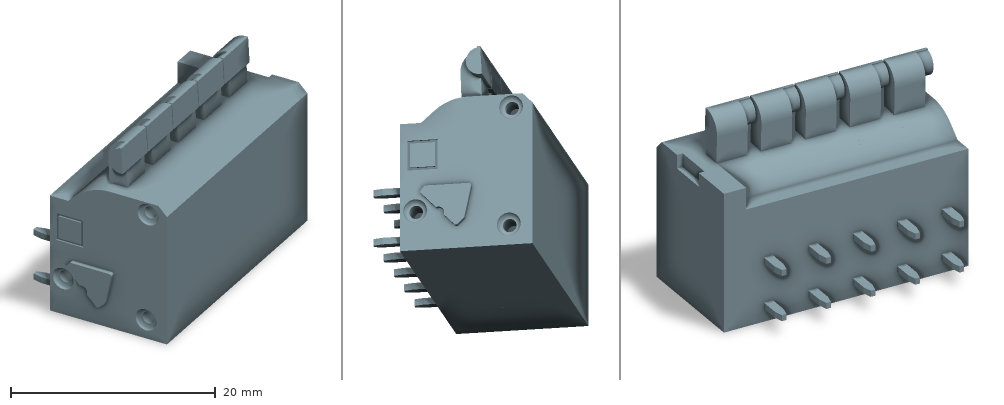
import cadquery as cq
import math


overall_length = 28.0
pole_count = 5
boss_height = 0.5
plate_thickness = 2.5
pole_pitch = (overall_length - boss_height - plate_thickness) / pole_count

body_width = 13.2
body_height = 15.4
back_chamfer = 0.98
shoulder_height = 13.0
shoulder_radius = 4.98
shoulder_angle = math.radians(41)
roof_start = 6.72

pin_length = 3.1
pin_width = 1.0
pin_height = 0.67
pin_tip_width = 0.5
pin_taper = 1.0
lower_pin_z = 1.8
pin_levels = [lower_pin_z, lower_pin_z + pole_pitch]

lever_top = 20.55
blade_width = 3.47
blade_root_z = 14.0
blade_root_left = 5.88
blade_root_right = 7.92
blade_shoulder_x = 5.7
blade_shoulder_z = 18.42
blade_neck_x = 7.75
blade_neck_z = 17.92
blade_top_radius = 2.07
crest_x = 7.62
nose_radius = 1.37
nose_center_x = 7.9
nose_center_z = 19.07
nose_face_top_x = 7.95
nose_face_bottom_x = 8.12
nose_clearance = 0.17

hole_centers = [(11.05, 14.05), (1.5, 4.03), (10.85, 2.1)]
hole_radius = 0.67
hole_mouth_fillet = 0.5
hole_depth = 2.8
boss_outline = [(2.58, 6.4), (7.25, 6.4), (6.5, 2.9), (5.65, 2.13), (2.02, 5.82)]
boss_corner_radius = 0.25
boss_notch_center = (3.9, 3.55)
boss_notch_radius = 0.62
frame_center = (2.25, 9.72)
frame_size = 3.02
frame_groove_width = 0.28
frame_groove_depth = 0.2

notch_start = 4.93
notch_width = 4.28
notch_thickness = 0.65
notch_depth = 1.5


def xz_plane(y):
    """Plane at the given Y with local axes X and Z; its normal points to -Y."""
    return cq.Workplane("XZ", origin=(0, y, 0))


def make_housing():
    """Prism of one pole, with the front shoulder sloping up into the roof by a tangent arc."""
    arc_start_x = roof_start - shoulder_radius * math.sin(shoulder_angle)
    arc_start_z = body_height - shoulder_radius * (1 - math.cos(shoulder_angle))
    slope_start_x = arc_start_x - (arc_start_z - shoulder_height) / math.tan(shoulder_angle)
    return (
        xz_plane(0)
        .lineTo(0, shoulder_height)
        .lineTo(slope_start_x, shoulder_height)
        .lineTo(arc_start_x, arc_start_z)
        .tangentArcPoint((roof_start, body_height), relative=False)
        .lineTo(body_width - back_chamfer, body_height)
        .lineTo(body_width, body_height - back_chamfer)
        .lineTo(body_width, 0)
        .close()
        .extrude(-pole_pitch)
    )


def make_pin(z):
    """Flat solder pin in the middle of the pole, tapering in width to its tip."""
    half_width = pin_width / 2
    half_tip = pin_tip_width / 2
    taper_start = pin_taper - pin_length
    return (
        cq.Workplane("XY", origin=(0, pole_pitch / 2, z - pin_height / 2))
        .moveTo(0, -half_width)
        .lineTo(taper_start, -half_width)
        .lineTo(-pin_length, -half_tip)
        .lineTo(-pin_length, half_tip)
        .lineTo(taper_start, half_width)
        .lineTo(0, half_width)
        .close()
        .extrude(pin_height)
    )


def make_lever():
    """Blade rising from the roof, joined to a longer nose bar with a round front and top lip."""
    blade = (
        xz_plane(pole_pitch)
        .moveTo(blade_root_left, blade_root_z)
        .lineTo(blade_shoulder_x, blade_shoulder_z)
        .radiusArc((crest_x, lever_top), blade_top_radius)
        .lineTo(blade_neck_x, blade_neck_z)
        .lineTo(blade_root_right, blade_root_z)
        .close()
        .extrude(blade_width)
    )
    crest_rise = math.sqrt(nose_radius**2 - (nose_center_x - crest_x) ** 2)
    face_drop = math.sqrt(nose_radius**2 - (nose_face_bottom_x - nose_center_x) ** 2)
    nose = (
        xz_plane(pole_pitch)
        .moveTo(crest_x, lever_top)
        .lineTo(crest_x, nose_center_z + crest_rise)
        .threePointArc(
            (nose_center_x - nose_radius, nose_center_z),
            (nose_face_bottom_x, nose_center_z - face_drop),
        )
        .lineTo(nose_face_top_x, lever_top)
        .close()
        .extrude(pole_pitch - nose_clearance)
    )
    return blade.union(nose)


def make_pole():
    """One pole: housing, lever and its two pins in one piece."""
    pole = make_housing().union(make_lever())
    for z in pin_levels:
        pole = pole.union(make_pin(z))
    return pole


def cut_holes(pole):
    """Blind round holes with a rounded mouth."""
    holes = xz_plane(0).pushPoints(hole_centers).circle(hole_radius).extrude(-hole_depth)
    mouth_radius = hole_radius + hole_mouth_fillet
    mouth = (
        cq.Workplane("XY")
        .lineTo(mouth_radius, 0)
        .radiusArc((hole_radius, hole_mouth_fillet), -hole_mouth_fillet)
        .lineTo(0, hole_mouth_fillet)
        .close()
        .revolve(360, (0, 0), (0, 1))
    )
    pole = pole.cut(holes)
    for x, z in hole_centers:
        pole = pole.cut(mouth.translate((x, 0, z)))
    return pole


def add_boss(pole):
    """Raised rounded wedge with a round bite out of its lower-left side."""
    boss = xz_plane(0).polyline(boss_outline).close().extrude(boss_height)
    boss = boss.edges("|Y").fillet(boss_corner_radius)
    bite = xz_plane(0).moveTo(*boss_notch_center).circle(boss_notch_radius).extrude(boss_height)
    return pole.union(boss.cut(bite))


def cut_frame_groove(pole):
    """Shallow square groove around a flush square field."""
    inner_size = frame_size - 2 * frame_groove_width
    groove = (
        xz_plane(0)
        .moveTo(*frame_center)
        .rect(frame_size, frame_size)
        .moveTo(*frame_center)
        .rect(inner_size, inner_size)
        .extrude(-frame_groove_depth)
    )
    return pole.cut(groove)


def make_end_plate():
    """Plain plate with the chamfer of the poles and a notch in its outer top edge."""
    plate_start = pole_count * pole_pitch
    plate_end = plate_start + plate_thickness
    plate = (
        xz_plane(plate_start)
        .lineTo(0, body_height)
        .lineTo(body_width - back_chamfer, body_height)
        .lineTo(body_width, body_height - back_chamfer)
        .lineTo(body_width, 0)
        .close()
        .extrude(-plate_thickness)
    )
    notch = cq.Workplane("XY").box(notch_width, notch_thickness, notch_depth, centered=False)
    notch_corner = (notch_start, plate_end - notch_thickness, body_height - notch_depth)
    return plate.cut(notch.translate(notch_corner))


poles = []
for index in range(pole_count):
    poles.append(make_pole().translate((0, index * pole_pitch, 0)))

poles[0] = cut_frame_groove(add_boss(cut_holes(poles[0])))

end_plate = make_end_plate()

result = cq.Compound.makeCompound([*[pole.val() for pole in poles], end_plate.val()])